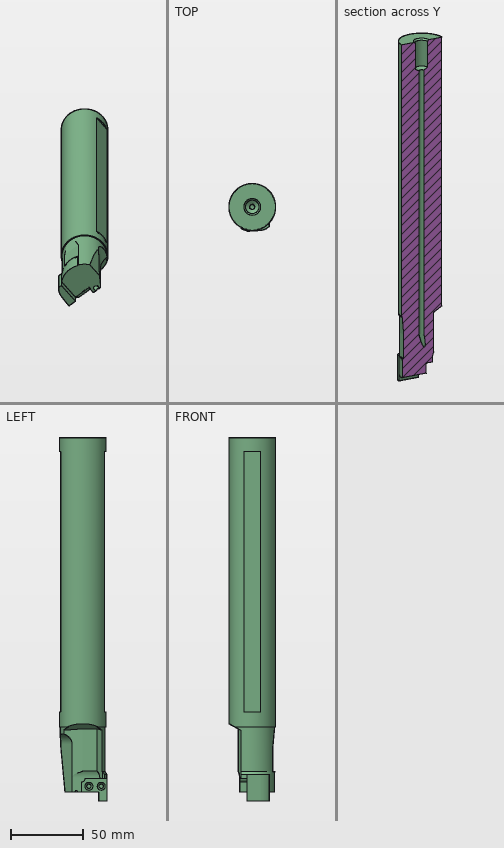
import cadquery as cq
import math

overall_length = 249.0
shoulder_height = 50.8
head_bottom = 6.2
head_rim_bottom = 18.5
head_rim_top = 20.2

shank_diameter = 32.0
shank_radius = shank_diameter / 2
flat_depth = 1.0
flat_bottom = 61.3
flat_top = 239.5

slope_inner_x = -9.7
slope_inner_height = 49.5
slope_outer_height = 53.0

mouth_radius = 5.7
bore_diameter = 9.2
bore_radius = bore_diameter / 2
bore_depth = 20.0
bore_floor_angle = 30
coolant_radius = 1.7
coolant_bend_height = 34.9
coolant_exit = (-7.2, 4.5, head_bottom)

neck_radius = 15.5
head_radius = shank_radius
head_center = (-0.7, -0.5)
side_x = -9.7
side_front_y = -10.0
front_bevel_end = (-7.7, -13.5)
back_bevel_end = (-8.5, 9.0)
head_side_x = -8.7
head_side_top = 16.0
runout_radius = 11.0
runout_angle = 45

flute_edge = (-8.7, 7.2)
flute_angle = 33.0
flute_top = 46.5
flute_runout_radius = 7.5
back_high = (15.5, 41.0)
back_low = (12.2, head_bottom)
right_relief_x = 14.2
right_relief_turn_height = 37.4

blade_left = -3.7
overall_depth = 32.9
blade_front_y = shank_radius - overall_depth
blade_back_y = -11.0
blade_flat_end = (6.0, -16.2)
blade_arc_middle = (9.2, -15.2)
blade_right_front = (11.7, -13.5)
seat_back_y = 0.7
seat_top = 15.5
seat_corner_radius = 2.2

screw_positions_y = (-4.2, -12.7)
screw_height = 10.2
screw_radius = 2.7
socket_radius = 1.5
screw_head_depth = 1.2
socket_depth = 2.0

clearance = 25.0


def cylinder(radius, bottom, top, center=(0, 0)):
    return cq.Workplane("XY", origin=(*center, bottom)).circle(radius).extrude(top - bottom)


def make_shank():
    """Round bar with two clamping flats and a sloped -X underside."""
    shank = cylinder(shank_radius, shoulder_height, overall_length)
    flat_y = shank_radius - flat_depth
    for side in (-1, 1):
        flat = cq.Workplane("XY").box(shank_diameter, clearance, flat_top - flat_bottom)
        flat_center = (0, side * (flat_y + clearance / 2), (flat_top + flat_bottom) / 2)
        shank = shank.cut(flat.translate(flat_center))
    return shank.cut(make_side_cut())


def make_below_slope():
    """Space under the sloped plane, on the -X side of the neck."""
    slope = (slope_outer_height - slope_inner_height) / (slope_inner_x + shank_radius)
    far_x = -shank_radius - clearance
    return (
        cq.Workplane("XZ")
        .polyline([
            (far_x, slope_inner_height - slope * (far_x - slope_inner_x)),
            (0, slope_inner_height + slope * slope_inner_x),
            (0, 0),
            (far_x, 0),
        ])
        .close()
        .extrude(clearance, both=True)
    )


def make_neck_outline():
    """Tall block whose -X side is a flat with a bevel at each edge."""
    return (
        cq.Workplane("XY")
        .polyline([
            (clearance, -clearance),
            (front_bevel_end[0], -clearance),
            front_bevel_end,
            (side_x, side_front_y),
            (side_x, 0),
            back_bevel_end,
            (back_bevel_end[0], clearance),
            (clearance, clearance),
        ])
        .close()
        .extrude(overall_length)
    )


def make_side_cut():
    """Everything outside the -X flat and its bevels, up to the sloped plane."""
    return make_below_slope().cut(make_neck_outline())


def make_neck():
    """Round neck with a shallow relief along its +X side."""
    bar = cylinder(neck_radius, head_bottom, shoulder_height)
    relief = (
        cq.Workplane("XZ")
        .moveTo(neck_radius, shoulder_height)
        .lineTo(right_relief_x, right_relief_turn_height)
        .lineTo(right_relief_x, head_bottom)
        .lineTo(clearance, head_bottom)
        .lineTo(clearance, shoulder_height)
        .close()
        .extrude(clearance, both=True)
    )
    return bar.cut(relief)


def make_head():
    """Round head with a conical rim that blends into the neck."""
    rim = (
        cq.Workplane("XY", origin=(*head_center, head_rim_bottom))
        .circle(head_radius)
        .workplane(offset=head_rim_top - head_rim_bottom)
        .center(-head_center[0], -head_center[1])
        .circle(neck_radius)
        .loft()
    )
    return cylinder(head_radius, head_bottom, head_rim_bottom, head_center).union(rim)


def make_side_recess():
    """Cut that sets the head's -X face back and runs out in an arc up the neck."""
    arc_angle = math.radians(runout_angle)

    def arc_point(angle):
        return (
            head_side_x - runout_radius * (1 - math.cos(angle)),
            head_side_top + runout_radius * math.sin(angle),
        )

    return (
        cq.Workplane("XZ")
        .moveTo(head_side_x, 0)
        .lineTo(head_side_x, head_side_top)
        .threePointArc(arc_point(arc_angle / 2), arc_point(arc_angle))
        .lineTo(-clearance, arc_point(arc_angle)[1])
        .lineTo(-clearance, 0)
        .close()
        .extrude(clearance, both=True)
    )


def make_flute():
    """Slanted flat behind the -X side, ending in an arc below the shank."""
    arc_start_height = flute_top - flute_runout_radius
    arc_rise = flute_runout_radius * math.sqrt(0.5)
    return (
        cq.Workplane("YZ")
        .moveTo(0, 0)
        .lineTo(0, arc_start_height)
        .threePointArc(
            (flute_runout_radius - arc_rise, arc_start_height + arc_rise),
            (flute_runout_radius, flute_top),
        )
        .lineTo(clearance, flute_top)
        .lineTo(clearance, 0)
        .close()
        .extrude(clearance, both=True)
        .rotate((0, 0, 0), (0, 0, 1), flute_angle)
        .translate((*flute_edge, 0))
    )


def make_back_clearance():
    """Sloped cut on the +Y side, deepest at the bottom of the head."""
    return (
        cq.Workplane("YZ")
        .polyline([back_low, back_high, (clearance, back_high[1]), (clearance, head_bottom)])
        .close()
        .extrude(clearance, both=True)
    )


def make_blade_seat():
    """Pocket in the -X face, open to the front and to the bottom."""
    return (
        cq.Workplane("YZ", origin=(blade_left, 0, 0))
        .moveTo(seat_back_y, 0)
        .lineTo(seat_back_y, seat_top - seat_corner_radius)
        .radiusArc((seat_back_y - seat_corner_radius, seat_top), seat_corner_radius)
        .lineTo(-clearance, seat_top)
        .lineTo(-clearance, 0)
        .close()
        .extrude(-clearance)
    )


def make_blade():
    """Blade with a rounded front that hangs below the head."""
    return (
        cq.Workplane("XY")
        .moveTo(blade_left, blade_front_y)
        .lineTo(*blade_flat_end)
        .threePointArc(blade_arc_middle, blade_right_front)
        .lineTo(blade_right_front[0], blade_back_y)
        .lineTo(blade_left, blade_back_y)
        .close()
        .extrude(head_rim_bottom)
    )


def make_screw_recess(y):
    """Conical screw head with a plain socket, sunk into the blade's side."""
    face = cq.Workplane("YZ", origin=(blade_left, y, screw_height))
    cone = face.circle(screw_radius).workplane(offset=screw_head_depth).circle(socket_radius).loft()
    socket = face.circle(socket_radius).extrude(screw_head_depth + socket_depth)
    return cone.union(socket)


def make_channel():
    """Countersunk bore with a drill-point floor and a bent coolant channel."""
    mouth_depth = mouth_radius - bore_radius
    bore_floor = overall_length - bore_depth
    floor_drop = bore_radius * math.tan(math.radians(bore_floor_angle))
    bore = (
        cq.Workplane("XZ")
        .polyline([
            (0, overall_length),
            (mouth_radius, overall_length),
            (bore_radius, overall_length - mouth_depth),
            (bore_radius, bore_floor),
            (0, bore_floor - floor_drop),
        ])
        .close()
        .revolve(360, (0, 0, 0), (0, 1, 0))
    )
    straight = cylinder(coolant_radius, coolant_bend_height, bore_floor)
    bend = cq.Vector(0, 0, coolant_bend_height)
    outward = cq.Vector(*coolant_exit) - bend
    overrun = 2 * coolant_radius
    branch = cq.Solid.makeCylinder(coolant_radius, outward.Length + overrun, bend, outward)
    elbow = cq.Workplane("XY").sphere(coolant_radius).translate(bend)
    return bore.union(straight).union(elbow).union(cq.Workplane(branch))


lower_body = make_neck().union(make_head())
side_cutters = (
    make_side_cut(),
    make_side_recess(),
    make_flute(),
    make_back_clearance(),
    make_blade_seat(),
)
for cutter in side_cutters:
    lower_body = lower_body.cut(cutter)

result = make_shank().union(lower_body).union(make_blade()).cut(make_channel())
for screw_y in screw_positions_y:
    result = result.cut(make_screw_recess(screw_y))